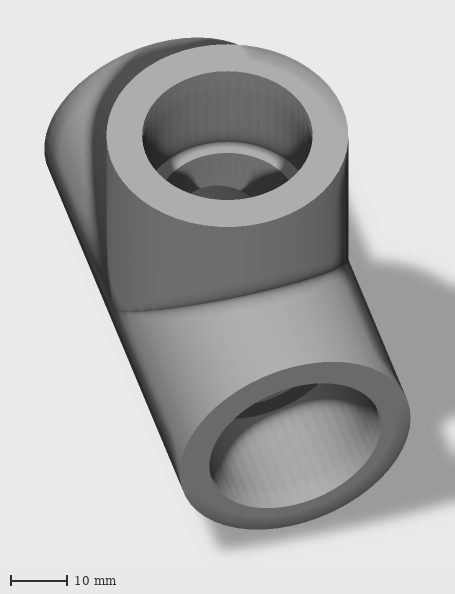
import cadquery as cq

outer_diameter = 43.0
bore_diameter = 25.0
run_length = 80.0
overall_height = 61.6
branch_height = overall_height - outer_diameter / 2

run_socket_diameter = 32.0
branch_socket_diameter = 30.3
run_socket_depth = 22.0
branch_socket_depth = 19.1


def run_cylinder(diameter, start_x, length):
    """Cylinder on the run axis, extending from start_x towards +X."""
    return cq.Workplane("YZ", origin=(start_x, 0, 0)).circle(diameter / 2).extrude(length)


def branch_cylinder(diameter, start_z, length):
    """Cylinder on the branch axis, extending from start_z towards +Z."""
    return cq.Workplane("XY", origin=(0, 0, start_z)).circle(diameter / 2).extrude(length)


run_start = -run_length / 2
run_body = run_cylinder(outer_diameter, run_start, run_length)
branch_body = branch_cylinder(outer_diameter, 0, branch_height)
body = run_body.union(branch_body)

body = body.cut(run_cylinder(bore_diameter, run_start, run_length))
body = body.cut(branch_cylinder(bore_diameter, 0, branch_height))

for socket_start in (run_start, -run_start - run_socket_depth):
    body = body.cut(run_cylinder(run_socket_diameter, socket_start, run_socket_depth))
body = body.cut(branch_cylinder(branch_socket_diameter, branch_height - branch_socket_depth, branch_socket_depth))

result = body